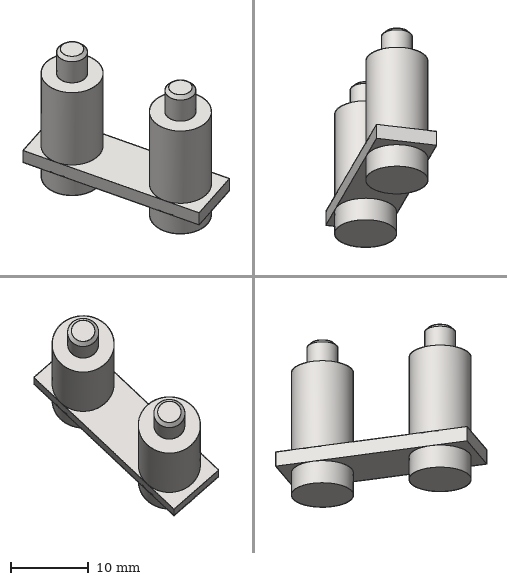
import cadquery as cq

plate_length = 26.0
plate_width = 8.0
plate_thickness = 2.0

post_spacing = 16.0
post_diameter = plate_width
foot_height = 3.1
barrel_height = 12.0
pin_diameter = post_diameter / 2
pin_height = 4.0
pin_chamfer = 0.5

barrel_top = plate_thickness + barrel_height


def make_plate():
    return cq.Workplane("XY").box(
        plate_length, plate_width, plate_thickness, centered=(True, True, False)
    )


def make_post(x):
    body_height = foot_height + barrel_top
    body = (
        cq.Workplane("XY", origin=(x, 0, -foot_height))
        .circle(post_diameter / 2)
        .extrude(body_height)
    )
    pin = (
        cq.Workplane("XY", origin=(x, 0, barrel_top))
        .circle(pin_diameter / 2)
        .extrude(pin_height)
        .faces(">Z")
        .chamfer(pin_chamfer)
    )
    return body.union(pin)


result = make_plate()
for side in (-1, 1):
    result = result.union(make_post(side * post_spacing / 2))